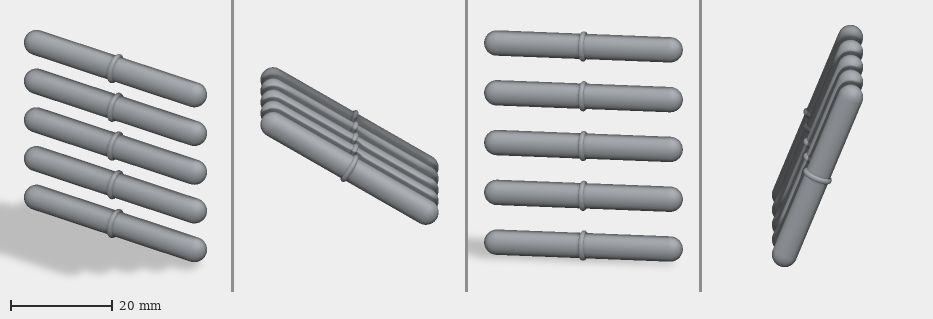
import cadquery as cq

stack_height = 46.0
bar_count = 5

bar_length = 40.0
bar_diameter = 5.0
ring_diameter = 6.0
ring_width = 1.1

bar_radius = bar_diameter / 2
ring_radius = ring_diameter / 2
ring_bead_radius = ring_width / 2
bar_pitch = (stack_height - ring_diameter) / (bar_count - 1)


def make_rod():
    """Cylinder along X, centred on the origin, with hemispherical ends."""
    half_length = bar_length / 2
    shoulder = half_length - bar_radius
    arc_offset = bar_radius * 0.5 ** 0.5
    profile = (
        cq.Workplane("XY")
        .moveTo(-half_length, 0)
        .threePointArc((-shoulder - arc_offset, arc_offset), (-shoulder, bar_radius))
        .lineTo(shoulder, bar_radius)
        .threePointArc((shoulder + arc_offset, arc_offset), (half_length, 0))
        .close()
    )
    return profile.revolve(360, (0, 0, 0), (1, 0, 0))


def make_ring():
    """Round bead around the middle of the rod."""
    bead_centre_radius = ring_radius - ring_bead_radius
    return (
        cq.Workplane("XY")
        .center(0, bead_centre_radius)
        .circle(ring_bead_radius)
        .revolve(360, (0, -bead_centre_radius, 0), (1, -bead_centre_radius, 0))
    )


def make_bar():
    """Rod and its ring as one solid."""
    return make_rod().union(make_ring())


bars = []
for index in range(bar_count):
    height = (index - (bar_count - 1) / 2) * bar_pitch
    bars.append(make_bar().translate((0, 0, height)).solids().val())

result = cq.Compound.makeCompound(bars)